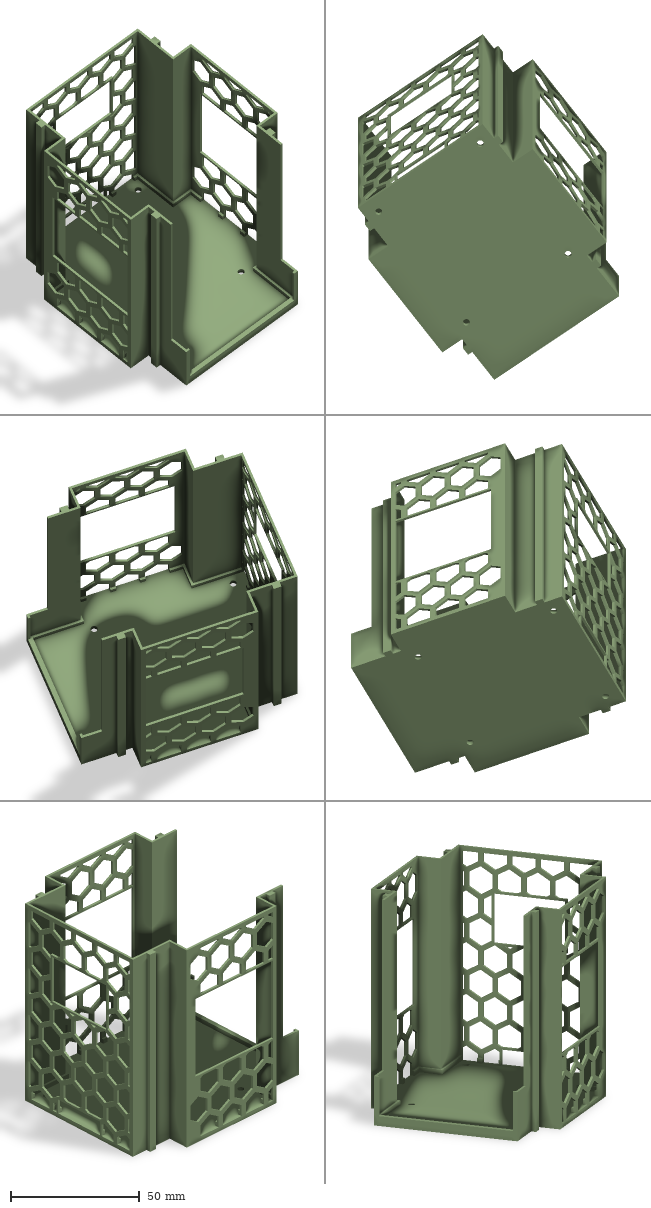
import cadquery as cq
import math

length = 90.0
total_width = 79.0
height = 89.0

body_width = 60.0
bay_start = 20.0
bay_end = 68.8
wall = 1.0
floor = 2.0
ledge = 2.0
ledge_top = 4.0
upper_length = 81.4
low_wall_height = 20.0

rail_width = 3.2
rail_depth = 2.0
rail_starts = (7.5, 72.2)

hole_diameter = 2.7
hole_centre_x = 35.0
hole_spacing_x = 57.9
hole_spacing_y = 48.9

hex_flat = 10.0
margin = 2.0
frame = 0.9
side_pitch = 12.3
side_top_row_z = height
side_bottom_row_z = 4.05
side_first_x = 26.2
end_pitch = 12.0
end_first_y = -32.3
end_top_row_z = 86.3
end_bottom_row_z = 2.4
row_count = 9
column_count = 6

side_window_end = bay_end - margin
front_window_start = 24.75
back_window_start = 26.1
side_window_bottom = 30.1
side_window_top = 65.2

end_window_width = 29.9
end_window_bottom = 51.0
end_window_top = 71.1
slot_width = 23.2
slot_top = 8.2


def block(x0, x1, y0, y1, z0, z1):
    """Box given by its limits along each axis."""
    return cq.Workplane("XY").box(x1 - x0, y1 - y0, z1 - z0, centered=False).translate((x0, y0, z0))


def cross_prism(inset, z0, z1):
    """Prism with the cross-shaped plan, moved inwards by an inset."""
    half_body = body_width / 2 - inset
    half_total = total_width / 2 - inset
    body = block(inset, length - inset, -half_body, half_body, z0, z1)
    bay = block(bay_start + inset, bay_end - inset, -half_total, half_total, z0, z1)
    return body.union(bay)


def make_shell():
    """Floor, raised rim and thin walls, open at the +X end between two low corner posts."""
    shell = cross_prism(0, 0, height)
    shell = shell.cut(cross_prism(ledge, floor, ledge_top))
    shell = shell.cut(cross_prism(wall, ledge_top, height))
    half_body = body_width / 2
    upper_gap = block(upper_length, length, -half_body, half_body, low_wall_height, height)
    opening_half = half_body - ledge
    end_opening = block(length - ledge, length, -opening_half, opening_half, ledge_top, height)
    return shell.cut(upper_gap).cut(end_opening)


def make_rails():
    """Four full-height rails on the outside of the main body."""
    half_body = body_width / 2
    rails = cq.Workplane("XY")
    for start in rail_starts:
        rail = block(start, start + rail_width, half_body - wall, half_body + rail_depth, 0, height)
        rails = rails.union(rail).union(rail.mirror("XZ"))
    return rails


def hexagon_prisms(plane, first, pitch, top_row, bottom_row, depth):
    """Hexagonal prisms with upright flats; every other row is shifted by half a pitch."""
    row_pitch = (top_row - bottom_row) / (row_count - 1)
    radius = hex_flat / 2 / math.cos(math.pi / 6)
    angles = [math.radians(30 + 60 * i) for i in range(6)]
    prisms = cq.Workplane(plane)
    for row in range(row_count):
        shift = pitch / 2 if row % 2 == 0 else 0
        for column in range(column_count):
            u = first + shift + column * pitch
            v = top_row - row * row_pitch
            corners = [(u + radius * math.cos(a), v + radius * math.sin(a)) for a in angles]
            prisms = prisms.polyline(corners).close()
    return prisms.extrude(depth, both=True)


def side_openings():
    """Honeycomb and window of both bay walls."""
    half = total_width / 2
    panel = block(bay_start + margin, bay_end - margin, -half, half, margin, height - margin)
    cells = hexagon_prisms("XZ", side_first_x, side_pitch, side_top_row_z, side_bottom_row_z, half)
    cells = cells.intersect(panel)
    band = block(bay_start, bay_end, -half, half, side_window_bottom - frame, side_window_top + frame)
    front = block(front_window_start, side_window_end, -half, 0, side_window_bottom, side_window_top)
    back = block(back_window_start, side_window_end, 0, half, side_window_bottom, side_window_top)
    return cells.cut(band).union(front).union(back)


def end_openings():
    """Honeycomb, window and floor-level slot of the closed end wall."""
    half_panel = body_width / 2 - margin
    panel = block(0, ledge, -half_panel, half_panel, margin, height - margin)
    cells = hexagon_prisms("YZ", end_first_y, end_pitch, end_top_row_z, end_bottom_row_z, ledge)
    cells = cells.intersect(panel)
    windows = (
        (end_window_width / 2, end_window_bottom, end_window_top),
        (slot_width / 2, floor, slot_top),
    )
    for half, bottom, top in windows:
        cells = cells.cut(block(0, ledge, -half - frame, half + frame, bottom - frame, top + frame))
        cells = cells.union(block(0, ledge, -half, half, bottom, top))
    return cells


def floor_holes():
    """Four screw holes through the floor."""
    return (
        cq.Workplane("XY")
        .center(hole_centre_x, 0)
        .rarray(hole_spacing_x, hole_spacing_y, 2, 2)
        .circle(hole_diameter / 2)
        .extrude(floor)
    )


result = make_shell().union(make_rails())
result = result.cut(side_openings()).cut(end_openings()).cut(floor_holes())